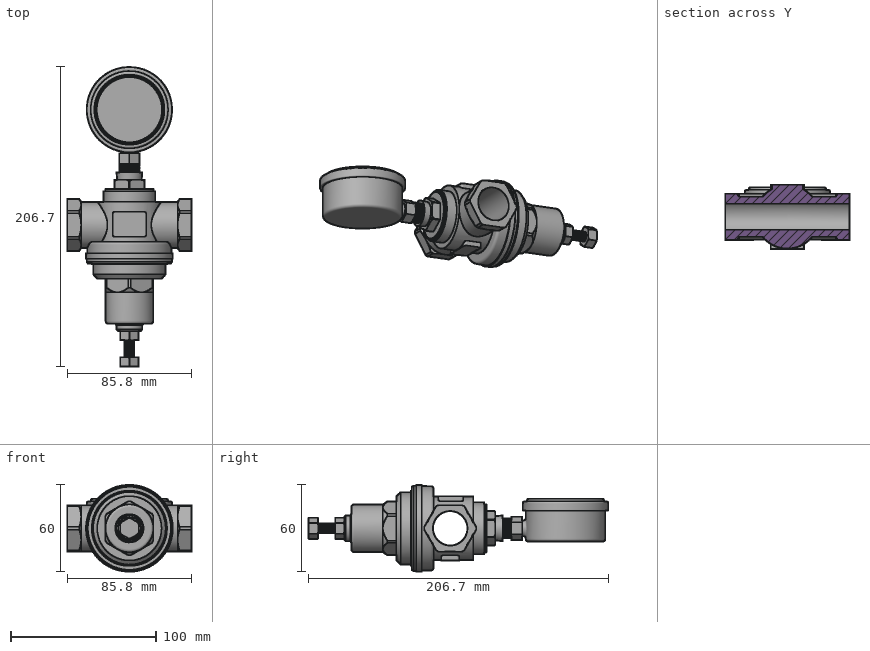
import cadquery as cq
import math


GAUGE_CENTRE_Y = 79.5
GAUGE_HEX_TOP_Y = 49.5
GAUGE_HEX_BOTTOM_Y = 42.1
GAUGE_THREAD_TOP_Y = 41.3
ADAPTER_TOP_Y = 36.2
ADAPTER_HEX_TOP_Y = 31.1
NECK_END_Y = 25.1
NECK_STEP_Y = 23.4
BODY_TOP_Y = 16.0
FLANGE_TOP_Y = -11.4
RIM_TOP_Y = -19.5
RIM_CHAMFER_Y = -23.3
RIM_LIP_Y = -25.3
FLANGE_BOTTOM_Y = -26.6
SHOULDER_CHAMFER_Y = -34.1
SHOULDER_BOTTOM_Y = -37.1
BONNET_HEX_CHAMFER_Y = -43.3
BONNET_HEX_BOTTOM_Y = -46.4
BONNET_BOTTOM_Y = -68.2
BOSS_BOTTOM_Y = -73.1
NUT_BOTTOM_Y = -79.4
HEAD_TOP_Y = -91.1
SCREW_END_Y = -97.7

BODY_DIA = 44.0
NECK_DIA = 36.0
NECK_END_DIA = 33.4
NECK_END_CHAMFER = 0.5
PIPE_DIA = 32.0
BORE_DIA = 23.6
PORT_SPAN = 85.8
PORT_HEX_FLATS = 32.0
PORT_HEX_CORNERS = 35.9
PORT_HEX_LENGTH = 9.6
PORT_HEX_CHAMFER = 1.3
FLANGE_DIA = 58.4
FLANGE_FILLET = 2.0
RIM_DIA = 60.0
RIM_LIP_DIA = 59.0
RIM_FACE_DIA = 57.2
PLATE_TOP = 22.2
PLATE_WIDTH = 23.2
TOP_PLATE_LENGTH = 17.2
BOTTOM_PLATE_LENGTH = 12.6
TOP_PLATE_CENTRE_Y = 0.5
BOTTOM_PLATE_CENTRE_Y = 0.0
PLATE_CORNER = 1.5

SPIGOT_DIA = 52.0
SPIGOT_DEPTH = 1.0
SPIGOT_PROUD = 0.5
SHOULDER_DIA = 50.0
SHOULDER_END_DIA = 44.4
BONNET_HEX_FLATS = 33.0
BONNET_HEX_CORNERS = 37.1
BONNET_DIA = 33.0
BONNET_FILLET = 2.0
BOSS_DIA = 18.0
BOSS_CHAMFER = 1.2
BOSS_ROOT_FLARE = 0.8

SCREW_DIA = 7.0
SCREW_PITCH = 1.25
SCREW_THREAD_DEPTH = 0.3
SCREW_HEX_FLATS = 12.9
SCREW_HEX_CORNERS = 14.8
SCREW_HEX_CHAMFER = 0.4
SCREW_HOLE_DEPTH = BONNET_BOTTOM_Y - BOSS_BOTTOM_Y

ADAPTER_DIA = 18.0
ADAPTER_WAIST_DIA = 17.0
ADAPTER_HEX_FLATS = 21.0
ADAPTER_HEX_CORNERS = 23.9
ADAPTER_HEX_CHAMFER = 0.7

CASE_DIA = 55.0
CASE_BOTTOM_Z = -9.2
CASE_FILLET = 2.0
BEZEL_DIA = 59.0
BEZEL_BOTTOM_Z = 12.2
BEZEL_TOP_Z = 18.5
BEZEL_TOP_FILLET = 1.3
BEZEL_BOTTOM_FILLET = 0.6
GLASS_RING_DIA = 53.4
GLASS_RING_TOP_Z = 20.4
GLASS_RING_FILLET = 1.5
DIAL_DIA = 45.0
DIAL_SLOPE_DIA = 46.6
DIAL_RIM_DIA = 48.4
DIAL_RIM_DEPTH = 0.6
DIAL_Z = 17.4
STEM_DIA = 11.0
STEM_FILLET = 1.4
GAUGE_HEX_FLATS = 14.0
GAUGE_HEX_CORNERS = 16.2
GAUGE_THREAD_DIA = 13.95
GAUGE_THREAD_PITCH = 1.337
GAUGE_THREAD_DEPTH = 0.4
GAUGE_NECK_DIA = 11.38


def turned_on_y(profile):
    """Solid of revolution about Y from (diameter, y) points; the axis side is closed."""
    first_y = profile[0][1]
    last_y = profile[-1][1]
    points = [(0, first_y)] + [(dia / 2, y) for dia, y in profile] + [(0, last_y)]
    return cq.Workplane("XY").polyline(points).close().revolve(360, (0, 0), (0, 1))


def rod_on_y(dia, top_y, bottom_y):
    return turned_on_y([(dia, top_y), (dia, bottom_y)])


def hexagon_on_y(flats, top_y, bottom_y):
    """Hexagonal bar along Y with two flats facing +X and -X."""
    across_corners = flats / math.cos(math.pi / 6)
    bar = cq.Workplane("XZ", origin=(0, top_y, 0)).transformed(rotate=(0, 0, 30))
    return bar.polygon(6, across_corners).extrude(top_y - bottom_y)


def threaded_rod_on_y(dia, depth, pitch, top_y, bottom_y):
    """Rod along Y whose thread is a row of V grooves."""
    turns = math.floor((top_y - bottom_y) / pitch)
    profile = [(dia, top_y)]
    for turn in range(turns):
        groove_y = top_y - (turn + 0.5) * pitch
        profile.append((dia - 2 * depth, groove_y))
        profile.append((dia, groove_y - pitch / 2))
    profile.append((dia, bottom_y))
    return turned_on_y(profile)


def port_hexagon():
    """Pipe-end hexagon along X with flats facing +Z and -Z, chamfered towards the body."""
    outer_x = PORT_SPAN / 2
    inner_x = outer_x - PORT_HEX_LENGTH
    across_corners = PORT_HEX_FLATS / math.cos(math.pi / 6)
    bar = cq.Workplane("YZ", origin=(inner_x, 0, 0)).polygon(6, across_corners).extrude(PORT_HEX_LENGTH)
    envelope_points = [
        (inner_x, 0),
        (inner_x, PORT_HEX_FLATS / 2),
        (inner_x + PORT_HEX_CHAMFER, PORT_HEX_CORNERS / 2),
        (outer_x, PORT_HEX_CORNERS / 2),
        (outer_x, 0),
    ]
    envelope = cq.Workplane("XY").polyline(envelope_points).close().revolve(360, (0, 0), (1, 0))
    return bar.intersect(envelope)


def name_plate(length, centre_y, side):
    """Raised pad on the body; side is +1 for the top pad and -1 for the bottom pad."""
    plate = cq.Workplane("XY").center(0, centre_y).rect(PLATE_WIDTH, length).extrude(side * PLATE_TOP)
    return plate.edges("|Z").fillet(PLATE_CORNER)


def make_housing():
    core = turned_on_y([
        (NECK_END_DIA - 2 * NECK_END_CHAMFER, NECK_END_Y),
        (NECK_END_DIA, NECK_END_Y - NECK_END_CHAMFER),
        (NECK_END_DIA, NECK_STEP_Y),
        (NECK_DIA, NECK_STEP_Y),
        (NECK_DIA, BODY_TOP_Y),
        (BODY_DIA, BODY_TOP_Y),
        (BODY_DIA, FLANGE_TOP_Y),
    ])
    flange = rod_on_y(FLANGE_DIA, FLANGE_TOP_Y, RIM_TOP_Y).faces(">Y").edges().fillet(FLANGE_FILLET)
    rim = turned_on_y([
        (RIM_DIA, RIM_TOP_Y),
        (RIM_DIA, RIM_CHAMFER_Y),
        (RIM_LIP_DIA, RIM_CHAMFER_Y),
        (RIM_LIP_DIA, RIM_LIP_Y),
        (RIM_FACE_DIA, FLANGE_BOTTOM_Y),
    ])
    pipe = cq.Workplane("YZ").circle(PIPE_DIA / 2).extrude(PORT_SPAN / 2 - PORT_HEX_LENGTH / 2, both=True)
    port = port_hexagon()
    housing = core.union(flange).union(rim).union(pipe).union(port).union(port.mirror("YZ"))
    housing = housing.union(name_plate(TOP_PLATE_LENGTH, TOP_PLATE_CENTRE_Y, 1))
    housing = housing.union(name_plate(BOTTOM_PLATE_LENGTH, BOTTOM_PLATE_CENTRE_Y, -1))
    bore = cq.Workplane("YZ").circle(BORE_DIA / 2).extrude(PORT_SPAN, both=True)
    spigot_recess = rod_on_y(SPIGOT_DIA, FLANGE_BOTTOM_Y + SPIGOT_DEPTH, FLANGE_BOTTOM_Y)
    return housing.cut(bore).cut(spigot_recess)


def make_bonnet():
    spigot_end_y = FLANGE_BOTTOM_Y - SPIGOT_PROUD
    shoulder = turned_on_y([
        (SPIGOT_DIA, FLANGE_BOTTOM_Y + SPIGOT_DEPTH),
        (SPIGOT_DIA, spigot_end_y),
        (SHOULDER_DIA, spigot_end_y),
        (SHOULDER_DIA, SHOULDER_CHAMFER_Y),
        (SHOULDER_END_DIA, SHOULDER_BOTTOM_Y),
    ])
    hexagon = hexagon_on_y(BONNET_HEX_FLATS, SHOULDER_BOTTOM_Y, BONNET_HEX_BOTTOM_Y)
    hexagon_envelope = turned_on_y([
        (BONNET_HEX_CORNERS, SHOULDER_BOTTOM_Y),
        (BONNET_HEX_CORNERS, BONNET_HEX_CHAMFER_Y),
        (BONNET_DIA, BONNET_HEX_BOTTOM_Y),
    ])
    barrel = rod_on_y(BONNET_DIA, SHOULDER_BOTTOM_Y, BONNET_BOTTOM_Y)
    barrel = barrel.faces("<Y").edges().fillet(BONNET_FILLET)
    boss = turned_on_y([
        (BOSS_DIA + 2 * BOSS_ROOT_FLARE, BONNET_BOTTOM_Y),
        (BOSS_DIA, BONNET_BOTTOM_Y - BOSS_ROOT_FLARE),
        (BOSS_DIA, BOSS_BOTTOM_Y + BOSS_CHAMFER),
        (BOSS_DIA - 2 * BOSS_CHAMFER, BOSS_BOTTOM_Y),
    ])
    screw_hole = rod_on_y(SCREW_DIA, BOSS_BOTTOM_Y + SCREW_HOLE_DEPTH, BOSS_BOTTOM_Y)
    bonnet = shoulder.union(hexagon.intersect(hexagon_envelope)).union(barrel).union(boss)
    return bonnet.cut(screw_hole)


def screw_hexagon(top_y, bottom_y):
    """Hexagon shared by the screw head and the nut, with both ends chamfered."""
    end_dia = SCREW_HEX_CORNERS - 2 * SCREW_HEX_CHAMFER
    envelope = turned_on_y([
        (end_dia, top_y),
        (SCREW_HEX_CORNERS, top_y - SCREW_HEX_CHAMFER),
        (SCREW_HEX_CORNERS, bottom_y + SCREW_HEX_CHAMFER),
        (end_dia, bottom_y),
    ])
    return hexagon_on_y(SCREW_HEX_FLATS, top_y, bottom_y).intersect(envelope)


def make_lock_nut():
    nut = screw_hexagon(BOSS_BOTTOM_Y, NUT_BOTTOM_Y)
    return nut.cut(rod_on_y(SCREW_DIA, BOSS_BOTTOM_Y, NUT_BOTTOM_Y))


def make_screw():
    head = screw_hexagon(HEAD_TOP_Y, SCREW_END_Y)
    plain = rod_on_y(SCREW_DIA, BOSS_BOTTOM_Y + SCREW_HOLE_DEPTH, NUT_BOTTOM_Y)
    thread = threaded_rod_on_y(SCREW_DIA, SCREW_THREAD_DEPTH, SCREW_PITCH, NUT_BOTTOM_Y, HEAD_TOP_Y)
    return head.union(plain).union(thread)


def make_adapter():
    hexagon = hexagon_on_y(ADAPTER_HEX_FLATS, ADAPTER_HEX_TOP_Y, NECK_END_Y)
    hexagon_envelope = turned_on_y([
        (ADAPTER_HEX_CORNERS - 2 * ADAPTER_HEX_CHAMFER, ADAPTER_HEX_TOP_Y),
        (ADAPTER_HEX_CORNERS, ADAPTER_HEX_TOP_Y - ADAPTER_HEX_CHAMFER),
        (ADAPTER_HEX_CORNERS, NECK_END_Y),
    ])
    collar = turned_on_y([(ADAPTER_DIA, ADAPTER_TOP_Y), (ADAPTER_WAIST_DIA, ADAPTER_HEX_TOP_Y)])
    socket = rod_on_y(GAUGE_THREAD_DIA, ADAPTER_TOP_Y, ADAPTER_HEX_TOP_Y)
    return hexagon.intersect(hexagon_envelope).union(collar).cut(socket)


def gauge_disc(dia, bottom_z, top_z):
    disc = cq.Workplane("XY", origin=(0, GAUGE_CENTRE_Y, bottom_z))
    return disc.circle(dia / 2).extrude(top_z - bottom_z)


def make_dial_recess():
    """Bowl above the dial: a shallow lead-in cone at the rim, then a steep cone down to the dial."""
    slope_top_z = GLASS_RING_TOP_Z - DIAL_RIM_DEPTH
    points = [
        (0, DIAL_Z),
        (DIAL_DIA / 2, DIAL_Z),
        (DIAL_SLOPE_DIA / 2, slope_top_z),
        (DIAL_RIM_DIA / 2, GLASS_RING_TOP_Z),
        (0, GLASS_RING_TOP_Z),
    ]
    profile = cq.Workplane("XZ").polyline(points).close()
    return profile.revolve(360, (0, 0), (0, 1)).translate((0, GAUGE_CENTRE_Y, 0))


def make_gauge():
    case = gauge_disc(CASE_DIA, CASE_BOTTOM_Z, BEZEL_BOTTOM_Z).faces("<Z").edges().fillet(CASE_FILLET)
    stem = rod_on_y(STEM_DIA, GAUGE_CENTRE_Y, GAUGE_HEX_TOP_Y)
    case = case.union(stem)
    root_zone = cq.selectors.BoxSelector(
        (-STEM_DIA, GAUGE_HEX_TOP_Y + STEM_FILLET / 2, -STEM_DIA),
        (STEM_DIA, GAUGE_CENTRE_Y, STEM_DIA),
        boundingbox=True,
    )
    case = case.edges(root_zone).edges("not #Z").fillet(STEM_FILLET)
    bezel = gauge_disc(BEZEL_DIA, BEZEL_BOTTOM_Z, BEZEL_TOP_Z)
    bezel = bezel.faces(">Z").edges().fillet(BEZEL_TOP_FILLET)
    bezel = bezel.faces("<Z").edges().fillet(BEZEL_BOTTOM_FILLET)
    glass_ring = gauge_disc(GLASS_RING_DIA, BEZEL_BOTTOM_Z, GLASS_RING_TOP_Z)
    glass_ring = glass_ring.faces(">Z").edges().fillet(GLASS_RING_FILLET)
    dial_recess = make_dial_recess()
    hexagon = hexagon_on_y(GAUGE_HEX_FLATS, GAUGE_HEX_TOP_Y, GAUGE_HEX_BOTTOM_Y)
    hexagon = hexagon.intersect(rod_on_y(GAUGE_HEX_CORNERS, GAUGE_HEX_TOP_Y, GAUGE_HEX_BOTTOM_Y))
    neck = rod_on_y(GAUGE_NECK_DIA, GAUGE_HEX_BOTTOM_Y, GAUGE_THREAD_TOP_Y)
    thread = threaded_rod_on_y(
        GAUGE_THREAD_DIA, GAUGE_THREAD_DEPTH, GAUGE_THREAD_PITCH, GAUGE_THREAD_TOP_Y, ADAPTER_TOP_Y
    )
    plug = rod_on_y(GAUGE_THREAD_DIA, ADAPTER_TOP_Y, ADAPTER_HEX_TOP_Y)
    head = case.union(bezel).union(glass_ring).cut(dial_recess)
    return head.union(hexagon).union(neck).union(thread).union(plug)


housing = make_housing()
bonnet = make_bonnet()
lock_nut = make_lock_nut()
screw = make_screw()
adapter = make_adapter()
gauge = make_gauge()

bodies = [housing, bonnet, lock_nut, screw, adapter, gauge]
result = cq.Compound.makeCompound([body.solids().val() for body in bodies])